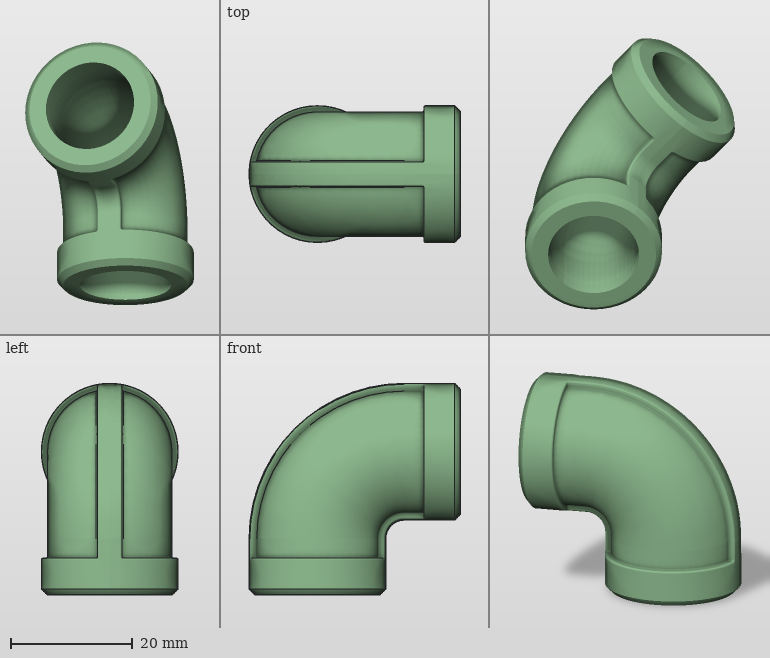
import cadquery as cq
import math

overall = 34.75
collar_radius = 22.5 / 2
pipe_radius = 10.2
bore_radius = 14.95 / 2
collar_length = 6.0
chamfer_size = 0.97
straight_length = 9.25
rib_width = 4.0
fillet_radius = 0.3

down_axis_x = collar_radius - overall / 2
mouth_z = -overall / 2
bend_start_z = mouth_z + straight_length
shoulder_z = mouth_z + collar_length
bend_radius = -bend_start_z - down_axis_x
rib_wall_y = rib_width / 2
tolerance = 0.005


def half_disc(radius, z):
    """Half circle on the +Y side, centered on the lower mouth's axis."""
    return (
        cq.Workplane("XY", origin=(down_axis_x, 0, z))
        .moveTo(-radius, 0)
        .threePointArc((0, radius), (radius, 0))
        .close()
    )


def ribbed_half_section(z):
    """Half of the pipe section, with the rib standing proud at both sides."""
    crest_x = math.sqrt(collar_radius**2 - rib_wall_y**2)
    foot_x = math.sqrt(pipe_radius**2 - rib_wall_y**2)
    mid_y = rib_wall_y / 2
    mid_x = math.sqrt(collar_radius**2 - mid_y**2)
    return (
        cq.Workplane("XY", origin=(down_axis_x, 0, z))
        .moveTo(-collar_radius, 0)
        .threePointArc((-mid_x, mid_y), (-crest_x, rib_wall_y))
        .lineTo(-foot_x, rib_wall_y)
        .threePointArc((0, pipe_radius), (foot_x, rib_wall_y))
        .lineTo(crest_x, rib_wall_y)
        .threePointArc((mid_x, mid_y), (collar_radius, 0))
        .close()
    )


def swing(section, angle):
    """Revolve a section about the bend's axis, which runs along Y."""
    return section.revolve(angle, (bend_radius, 0, 0), (bend_radius, 1, 0))


def is_rounded(edge):
    """True for rib wall and shoulder edges away from the diagonal plane."""
    middle = edge.positionAt(0.5)
    on_diagonal = abs(middle.x + middle.z) < tolerance
    points = [edge.startPoint(), middle, edge.endPoint()]
    on_wall = all(abs(point.y - rib_wall_y) < tolerance for point in points)
    on_shoulder = abs(middle.z - shoulder_z) < tolerance and middle.y > tolerance
    return (on_wall or on_shoulder) and not on_diagonal


half_bend_angle = 45

collar = half_disc(collar_radius, mouth_z).extrude(collar_length)
neck = ribbed_half_section(shoulder_z).extrude(bend_start_z - shoulder_z)
half_bend = swing(ribbed_half_section(bend_start_z), half_bend_angle)
quarter = neck.union(collar).union(half_bend)

quarter = quarter.edges().filter(is_rounded).fillet(fillet_radius)

bevel = (
    cq.Workplane("XZ", origin=(down_axis_x, 0, mouth_z))
    .moveTo(collar_radius - chamfer_size, 0)
    .lineTo(collar_radius, 0)
    .lineTo(collar_radius, chamfer_size)
    .close()
    .revolve(360, (0, 0, 0), (0, 1, 0))
)
quarter = quarter.cut(bevel)

bore = half_disc(bore_radius, mouth_z).extrude(straight_length)
bore = bore.union(swing(half_disc(bore_radius, bend_start_z), half_bend_angle))
quarter = quarter.cut(bore)

diagonal_normal = cq.Vector(1, 0, 1)
half = quarter.union(quarter.mirror(diagonal_normal))
result = half.union(half.mirror("XZ"), clean=False)